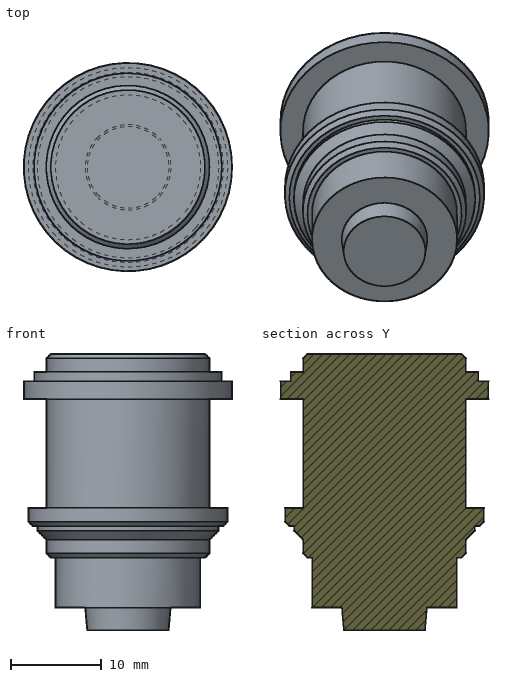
import cadquery as cq
import math

chamfer = 0.5

tip_end_diameter = 9.0
tip_height = 2.5
tip_taper_angle = 5.0
tip_root_diameter = tip_end_diameter + 2 * tip_height * math.tan(math.radians(tip_taper_angle))

spigot_diameter = 16.0
spigot_height = 5.5

body_diameter = 18.0
lower_land_height = 2.0

neck_diameter = 20.0
cone_height = (neck_diameter - body_diameter) / 2
neck_height = 0.5

collar_diameter = 22.0
collar_height = 2.0

barrel_height = 12.0

flange_diameter = 23.0
flange_height = 2.0

step_diameter = 20.7
step_height = 1.0

cap_height = 2.0


def disc(bottom, diameter, height):
    """Plain cylinder standing on the given level."""
    return cq.Workplane("XY").workplane(offset=bottom).circle(diameter / 2).extrude(height)


def cone(bottom, lower_diameter, upper_diameter, height):
    """Truncated cone standing on the given level."""
    return cq.Workplane("XY").add(
        cq.Solid.makeCone(lower_diameter / 2, upper_diameter / 2, height, pnt=cq.Vector(0, 0, bottom))
    )


spigot_bottom = tip_height
land_bottom = spigot_bottom + spigot_height
cone_bottom = land_bottom + lower_land_height
neck_bottom = cone_bottom + cone_height
collar_bottom = neck_bottom + neck_height
barrel_bottom = collar_bottom + collar_height
flange_bottom = barrel_bottom + barrel_height
step_bottom = flange_bottom + flange_height
cap_bottom = step_bottom + step_height

tip = cone(0, tip_end_diameter, tip_root_diameter, tip_height)
spigot = disc(spigot_bottom, spigot_diameter, spigot_height)
land = disc(land_bottom, body_diameter, lower_land_height).faces("<Z").chamfer(chamfer)
seat_cone = cone(cone_bottom, body_diameter, neck_diameter, cone_height)
neck = disc(neck_bottom, neck_diameter, neck_height)

collar = disc(collar_bottom, collar_diameter, collar_height).faces("<Z").chamfer(chamfer)
barrel = disc(barrel_bottom, body_diameter, barrel_height)

flange = disc(flange_bottom, flange_diameter, flange_height)
step = disc(step_bottom, step_diameter, step_height)
cap = disc(cap_bottom, body_diameter, cap_height).faces(">Z").chamfer(chamfer)

result = tip
for section in (spigot, land, seat_cone, neck, collar, barrel, flange, step, cap):
    result = result.union(section)